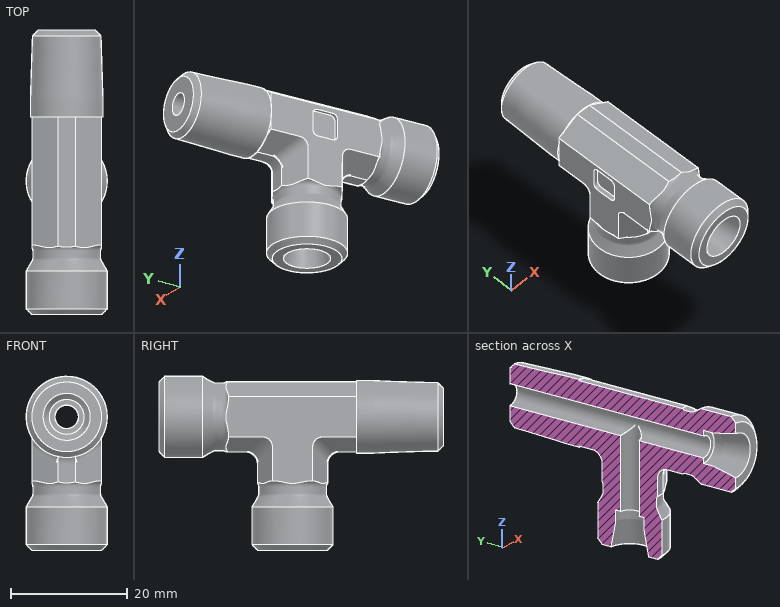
import cadquery as cq
import math

port_length = 23.0
taper_end_length = 26.0

across_flats = 12.0
trim_width = 3.0
body_length = 11.0
crotch_radius = 2.0
half_flat = across_flats / 2
corner_height = half_flat / math.sqrt(3)
half_trim = trim_width / 2
trim_height = (across_flats - half_trim) / math.sqrt(3)

thread_diameter = 14.0
neck_diameter = 11.7
port_chamfer = 1.0
shoulder_start = 13.5
shoulder_angle = 30.0
neck_fillet = 1.0
thread_radius = thread_diameter / 2
neck_radius = neck_diameter / 2
shoulder_end = shoulder_start + (thread_radius - neck_radius) / math.tan(math.radians(shoulder_angle))
neck_start = body_length + neck_fillet

bore_diameter = 4.0
tube_diameter = 6.0
mouth_diameter = 8.1
cone_half_angle = 12.0
tube_socket_depth = 7.0
cone_depth = (mouth_diameter - tube_diameter) / 2 / math.tan(math.radians(cone_half_angle))

collar_diameter = 12.53
collar_end = 14.0
taper_ratio = 1 / 16
taper_chamfer = 1.0

recess_size = 5.0
recess_corner_radius = 1.0
recess_depth = 0.9


def along_run(shape):
    """Turn an arm built along +Z so that it points along -Y."""
    return shape.rotate((0, 0, 0), (1, 0, 0), 90)


def along_branch(shape):
    """Turn an arm built along +Z so that it points along -Z."""
    return shape.rotate((0, 0, 0), (1, 0, 0), 180)


def along_stub(shape):
    """Turn an arm built along +Z so that it points along +Y."""
    return shape.rotate((0, 0, 0), (1, 0, 0), -90)


def revolve_about_z(profile):
    """Close and revolve a radius-height profile, drawn on XZ, about the Z axis."""
    return profile.close().revolve(360, (0, 0, 0), (0, 1, 0))


def body_bar(start, end):
    """Trimmed hexagonal bar along Z, with its wide flats facing X."""
    corners = [
        (half_flat, -corner_height),
        (half_flat, corner_height),
        (half_trim, trim_height),
        (-half_trim, trim_height),
        (-half_flat, corner_height),
        (-half_flat, -corner_height),
        (-half_trim, -trim_height),
        (half_trim, -trim_height),
    ]
    return cq.Workplane("XY").workplane(offset=start).polyline(corners).close().extrude(end - start)


def is_crotch_edge(edge):
    """True for the edges between run and branch, which lie on the diagonals below the run axis."""
    center = edge.Center()
    return center.z < 0 and math.isclose(abs(center.y), -center.z)


def tee_body():
    """Run and branch bars joined, with the crotch edges rounded."""
    run = along_run(body_bar(-body_length, neck_start))
    branch = along_branch(body_bar(0, neck_start))
    tee = run.union(branch)
    return tee.newObject(tee.edges().filter(is_crotch_edge).vals()).fillet(crotch_radius)


def neck_relief():
    """Ring that trims the end of the bar with a concave round running into the neck."""
    outer_radius = thread_radius + neck_fillet
    wall_radius = neck_radius + neck_fillet
    arc_offset = neck_fillet * math.sqrt(0.5)
    arc_middle = (wall_radius - arc_offset, neck_start - arc_offset)
    profile = (
        cq.Workplane("XZ")
        .moveTo(outer_radius, body_length)
        .lineTo(wall_radius, body_length)
        .threePointArc(arc_middle, (neck_radius, neck_start))
        .lineTo(outer_radius, neck_start)
    )
    return revolve_about_z(profile)


def port_outside():
    """Neck, shoulder and threaded cylinder of a tube port."""
    shoulder_tangent = neck_fillet * math.tan(math.radians(shoulder_angle / 2))
    bend = math.radians(shoulder_angle)
    arc_start = shoulder_start - shoulder_tangent
    center_radius = neck_radius + neck_fillet
    arc_middle = (
        center_radius - neck_fillet * math.cos(bend / 2),
        arc_start + neck_fillet * math.sin(bend / 2),
    )
    arc_end = (
        center_radius - neck_fillet * math.cos(bend),
        arc_start + neck_fillet * math.sin(bend),
    )
    profile = (
        cq.Workplane("XZ")
        .moveTo(0, body_length)
        .lineTo(neck_radius, body_length)
        .lineTo(neck_radius, arc_start)
        .threePointArc(arc_middle, arc_end)
        .lineTo(thread_radius, shoulder_end)
        .lineTo(thread_radius, port_length - port_chamfer)
        .lineTo(thread_radius - port_chamfer, port_length)
        .lineTo(0, port_length)
    )
    return revolve_about_z(profile)


def port_inside():
    """Sealing cone, tube socket and bore, reaching from the end face to the origin."""
    socket_floor = port_length - tube_socket_depth
    profile = (
        cq.Workplane("XZ")
        .lineTo(bore_diameter / 2, 0)
        .lineTo(bore_diameter / 2, socket_floor)
        .lineTo(tube_diameter / 2, socket_floor)
        .lineTo(tube_diameter / 2, port_length - cone_depth)
        .lineTo(mouth_diameter / 2, port_length)
        .lineTo(0, port_length)
    )
    return revolve_about_z(profile)


def tapered_stub():
    """Short collar followed by a tapered pipe end."""
    collar_radius = collar_diameter / 2
    chamfer_start = taper_end_length - taper_chamfer
    small_radius = collar_radius - (chamfer_start - collar_end) * taper_ratio / 2
    profile = (
        cq.Workplane("XZ")
        .moveTo(0, body_length)
        .lineTo(collar_radius, body_length)
        .lineTo(collar_radius, collar_end)
        .lineTo(small_radius, chamfer_start)
        .lineTo(small_radius - taper_chamfer, taper_end_length)
        .lineTo(0, taper_end_length)
    )
    return revolve_about_z(profile)


def stub_bore():
    """Plain bore of the stub, from the origin to its end face."""
    return cq.Workplane("XY").circle(bore_diameter / 2).extrude(taper_end_length)


def marking_recess():
    """Rounded square pocket centred on the -X flat."""
    return (
        cq.Workplane("YZ")
        .workplane(offset=-half_flat)
        .rect(recess_size, recess_size)
        .extrude(recess_depth)
        .edges("|X")
        .fillet(recess_corner_radius)
    )


result = tee_body()
for point_port in (along_run, along_branch):
    result = result.cut(point_port(neck_relief()))
    result = result.union(point_port(port_outside()))
result = result.union(along_stub(tapered_stub()))

for point_port in (along_run, along_branch):
    result = result.cut(point_port(port_inside()))
result = result.cut(along_stub(stub_bore()))
result = result.cut(marking_recess())